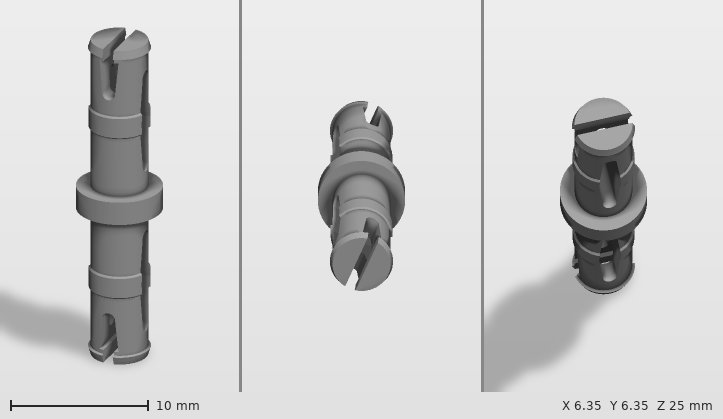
import cadquery as cq
import math

length = 24.98
shaft_diameter = 4.2
flange_diameter = 6.35
flange_thickness = 1.77

band_diameter = 4.5
band_height = 1.77
band_chamfer = 0.12
band_center = 6.37

rim_diameter = 4.6
rim_height = 0.7
rim_back_height = 0.07

slot_half_length = 4.0
slot_half_width = 0.837
slot_tip_radius = 0.5

gap_width = 0.82
gap_depth = 1.0

half_length = length / 2


def disc(diameter, height, bottom):
    return cq.Workplane("XY").workplane(offset=bottom).circle(diameter / 2).extrude(height)


def band():
    """Raised ring with chamfered edges."""
    ring = disc(band_diameter, band_height, band_center - band_height / 2)
    return ring.edges().chamfer(band_chamfer)


def rim():
    """Tapered lead-in with a short sloping back face."""
    shaft_radius = shaft_diameter / 2
    back = half_length - rim_height
    return (
        cq.Workplane("XZ")
        .moveTo(0, back)
        .lineTo(shaft_radius, back)
        .lineTo(rim_diameter / 2, back + rim_back_height)
        .lineTo(shaft_radius, half_length)
        .lineTo(0, half_length)
        .close()
        .revolve(360, (0, 0, 0), (0, 1, 0))
    )


def diamond_slot(plane, center):
    """Cutter through the shaft; its straight sides are tangent to the rounded tips."""
    tip_center = slot_half_length - slot_tip_radius
    side_reach = math.hypot(slot_half_width, tip_center)
    tip_angle = math.acos(slot_tip_radius / side_reach) - math.atan2(tip_center, slot_half_width)
    tangent_x = slot_tip_radius * math.cos(tip_angle)
    tangent_z = tip_center + slot_tip_radius * math.sin(tip_angle)
    return (
        cq.Workplane(plane)
        .center(0, center)
        .moveTo(slot_half_width, 0)
        .lineTo(tangent_x, tangent_z)
        .threePointArc((0, slot_half_length), (-tangent_x, tangent_z))
        .lineTo(-slot_half_width, 0)
        .lineTo(-tangent_x, -tangent_z)
        .threePointArc((0, -slot_half_length), (tangent_x, -tangent_z))
        .close()
        .extrude(flange_diameter, both=True)
    )


def end_slot():
    """Half diamond opening to the pin end through the narrower gap."""
    gap_bottom = half_length - gap_depth
    cover = disc(flange_diameter, slot_half_length, gap_bottom)
    wide_part = diamond_slot("XZ", half_length).cut(cover)
    gap = (
        cq.Workplane("XY")
        .workplane(offset=gap_bottom)
        .rect(gap_width, flange_diameter)
        .extrude(gap_depth)
    )
    return wide_part.union(gap)


def arm():
    """Upper half of the pin, without the flange."""
    body = disc(shaft_diameter, half_length - rim_height, 0)
    body = body.union(rim()).union(band())
    return body.cut(diamond_slot("YZ", band_center)).cut(end_slot())


upper_arm = arm()
lower_arm = upper_arm.mirror("XY")
flange = disc(flange_diameter, flange_thickness, -flange_thickness / 2)
result = flange.union(upper_arm).union(lower_arm)